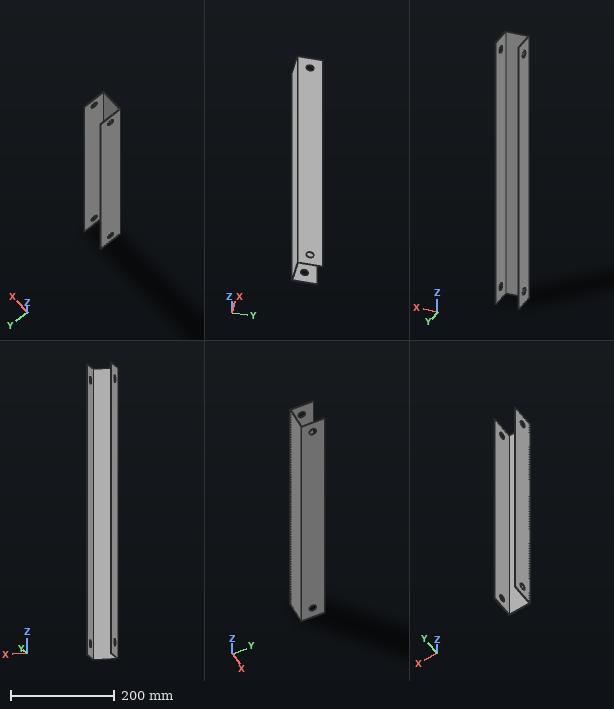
import cadquery as cq

length = 575.0
width = 50.5
depth = 50.5
wall = 2.0

hole_diameter = 15.0
hole_end_distance = 27.0


def channel():
    """Flat web on the -Y side with a flange along each X side."""
    block = cq.Workplane("XY").box(width, depth, length)
    cavity = cq.Workplane("XY").box(width - 2 * wall, depth, length).translate((0, wall, 0))
    return block.cut(cavity)


def flange_holes():
    """One hole near each end, centred on the flanges and passing through both."""
    hole_height = length / 2 - hole_end_distance
    return (
        cq.Workplane("YZ")
        .pushPoints([(0, -hole_height), (0, hole_height)])
        .circle(hole_diameter / 2)
        .extrude(width, both=True)
    )


result = channel().cut(flange_holes())